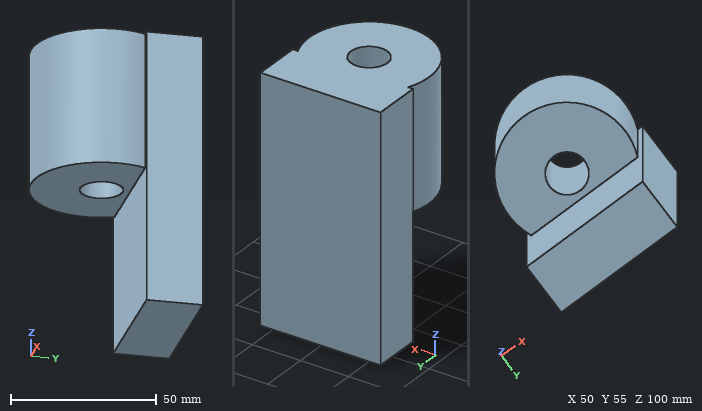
import cadquery as cq

plate_height = 100
plate_thickness = 20
boss_diameter = 50
boss_height = 50
boss_offset = 10
bore_diameter = 15

plate_width = boss_diameter
boss_bottom = plate_height - boss_height

plate = (
    cq.Workplane("XY")
    .center(0, boss_offset + plate_thickness / 2)
    .rect(plate_width, plate_thickness)
    .extrude(plate_height)
)

boss = (
    cq.Workplane("XY")
    .workplane(offset=boss_bottom)
    .circle(boss_diameter / 2)
    .extrude(boss_height)
)

bore = (
    cq.Workplane("XY")
    .workplane(offset=boss_bottom)
    .circle(bore_diameter / 2)
    .extrude(boss_height)
)

result = plate.union(boss).cut(bore)